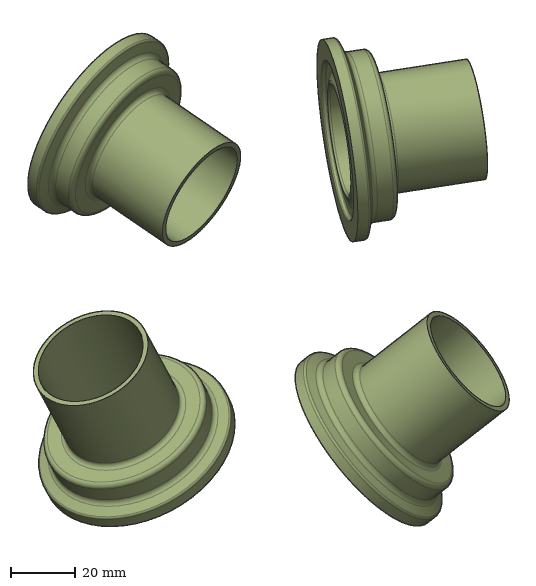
import cadquery as cq
import math

length = 44.0
hub_end = 13.95
recess_depth = 1.6

flange_radius = 32.0
hub_radius = 27.0
tube_radius = 19.1
bore_radius = 17.4
recess_diameter = 50.5
recess_radius = recess_diameter / 2

rim_round = 0.8
rim_straight = 3.5
cone_angle = 20.0
cone_fillet = 1.9
hub_round = 1.6
tube_fillet = 1.6
recess_round = 0.3
lip_inner_round = 0.7

lip_slope = 31.5
floor_inner_radius = 21.8
flare_foot_radius = 21.45
flare_radius = 18.95
flare_foot_drop = 0.05
flare_foot_x = recess_depth - flare_foot_drop
lip_crest_radius = bore_radius + lip_inner_round
slope_sine = math.sin(math.radians(lip_slope))
slope_rise = 1 - math.cos(math.radians(lip_slope))
lip_outer_round = (flare_radius - lip_crest_radius) / slope_sine
flare_fillet = (flare_foot_radius - flare_radius) / slope_sine
lip_x = flare_foot_x - (flare_fillet + lip_outer_round) * slope_rise


def arc_point(center_x, center_r, radius, degrees):
    """Point on a circle in the (axial, radial) half plane."""
    angle = math.radians(degrees)
    return (center_x + radius * math.cos(angle), center_r + radius * math.sin(angle))


def add_arc(profile, center, radius, start, end):
    """Append an arc that runs from angle start to angle end, in degrees."""
    middle = arc_point(*center, radius, (start + end) / 2)
    return profile.threePointArc(middle, arc_point(*center, radius, end))


def make_body():
    """Revolve the flange, hub and tube, with the recess and its central lip."""
    cone_lean = math.radians(cone_angle)
    rim_center = (rim_straight, flange_radius - rim_round)
    rim_end = arc_point(*rim_center, rim_round, cone_angle)
    fillet_r = hub_radius + cone_fillet
    fillet_start_r = fillet_r - cone_fillet * math.sin(cone_lean)
    fillet_start_x = rim_end[0] + (rim_end[1] - fillet_start_r) * math.tan(cone_lean)
    cone_center = (fillet_start_x + cone_fillet * math.cos(cone_lean), fillet_r)

    p = cq.Workplane("XY").moveTo(0, recess_radius + recess_round)
    p = p.lineTo(0, flange_radius).lineTo(rim_straight, flange_radius)
    p = add_arc(p, rim_center, rim_round, 90, cone_angle)
    p = p.lineTo(fillet_start_x, fillet_start_r)
    p = add_arc(p, cone_center, cone_fillet, 180 + cone_angle, 270)
    p = p.lineTo(hub_end - hub_round, hub_radius)
    p = add_arc(p, (hub_end - hub_round, hub_radius - hub_round), hub_round, 90, 0)
    p = p.lineTo(hub_end, tube_radius + tube_fillet)
    p = add_arc(p, (hub_end + tube_fillet, tube_radius + tube_fillet), tube_fillet, 180, 270)
    p = p.lineTo(length, tube_radius).lineTo(length, bore_radius)

    p = p.lineTo(lip_x + lip_inner_round, bore_radius)
    p = add_arc(p, (lip_x + lip_inner_round, lip_crest_radius), lip_inner_round, 270, 180)
    p = add_arc(p, (lip_x + lip_outer_round, lip_crest_radius), lip_outer_round, 180, 180 - lip_slope)
    p = add_arc(p, (flare_foot_x - flare_fillet, flare_foot_radius), flare_fillet, -lip_slope, 0)
    p = p.lineTo(recess_depth, floor_inner_radius)
    p = p.lineTo(recess_depth, recess_radius - recess_round)
    p = add_arc(p, (recess_depth - recess_round, recess_radius - recess_round), recess_round, 0, 90)
    p = p.lineTo(recess_round, recess_radius)
    p = add_arc(p, (recess_round, recess_radius + recess_round), recess_round, 270, 180)
    return p.close().revolve(360, (0, 0, 0), (1, 0, 0))


result = make_body()